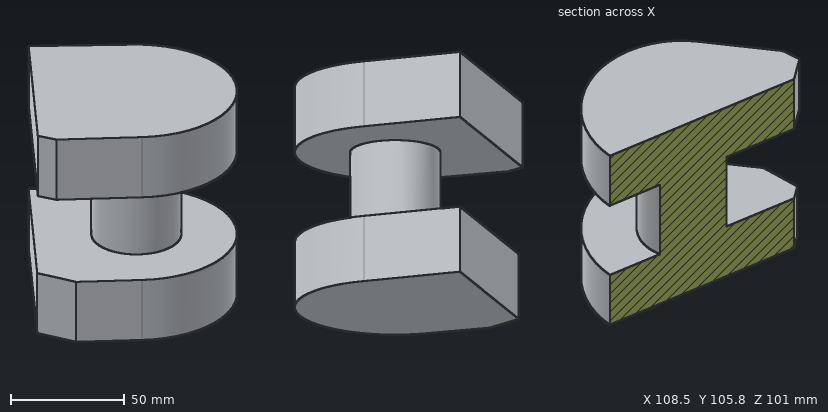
import cadquery as cq
import math

plate_thickness = 30.0
total_height = 101.0
shaft_radius = 20.0
head_radius = 44.5
head_tilt = math.radians(41.35)

left_corner = (-64.0, -3.7)

upper_cut = [(8.6, -58.0), (0.2, -61.3)]
lower_cut = [(14.2, -51.4), (-3.8, -57.7)]

head_x = head_radius * math.cos(head_tilt)
head_y = head_radius * math.sin(head_tilt)
arc_start = (-head_x, head_y)
arc_middle = (head_y, head_x)
arc_end = (head_x, -head_y)


def plate(bottom_z, corner_cut):
    """Round-headed plate with one corner cut off."""
    outline = (
        cq.Workplane("XY", origin=(0, 0, bottom_z))
        .moveTo(*left_corner)
        .lineTo(*arc_start)
        .threePointArc(arc_middle, arc_end)
    )
    for point in corner_cut:
        outline = outline.lineTo(*point)
    return outline.close().extrude(plate_thickness)


lower_plate = plate(0, lower_cut)
upper_plate = plate(total_height - plate_thickness, upper_cut)
shaft = cq.Workplane("XY").circle(shaft_radius).extrude(total_height)

result = lower_plate.union(shaft).union(upper_plate)